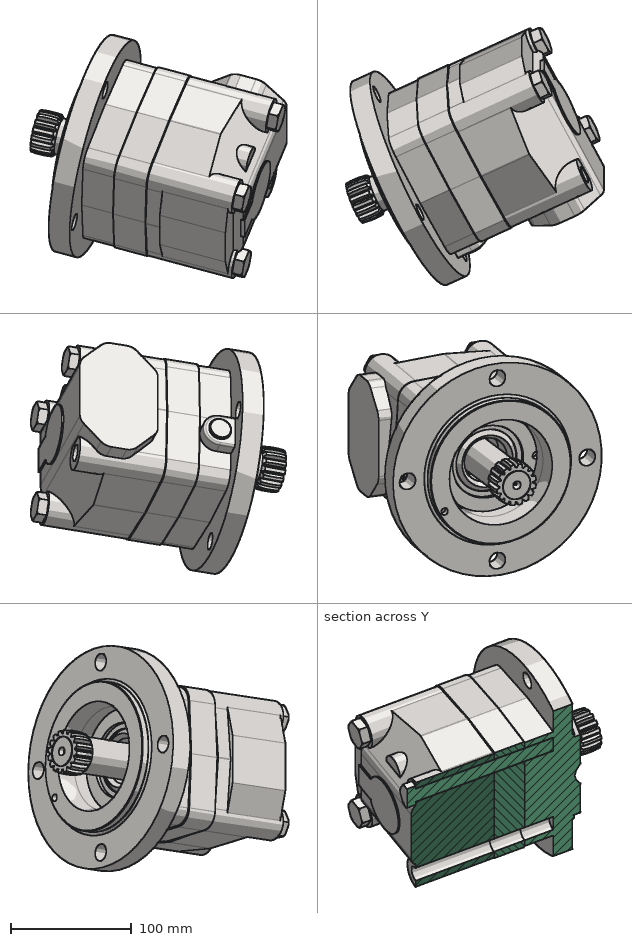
import cadquery as cq
import math

TOTAL_LENGTH = 199.5

PILOT_FRONT = -7.5
SEAL_FRONT = -2.0
FLANGE_BACK = 18.4
HOUSING_BACK = 45.5
RING_BACK = 74.5
BOLT_SEAT = 148.3
BOLT_HEAD_LENGTH = 8.4
BOLT_END = BOLT_SEAT + BOLT_HEAD_LENGTH

FLANGE_DIAMETER = 186.0
PILOT_DIAMETER = 125.1
PILOT_CHAMFER = 0.5
SEAL_DIAMETER = 130.7
SEAL_ROUNDING = 1.4
MOUNT_CIRCLE_DIAMETER = 160.0
MOUNT_HOLE_DIAMETER = 14.2
MOUNT_HOLES = 4

MOUTH_DIAMETER = 91.5
BORE_DIAMETER = 86.8
MOUTH_BACK = 7.8
BORE_FLOOR = 21.0
STEP_DIAMETER = 63.0
STEP_FLOOR = 24.3
LIP_OUTER_DIAMETER = 53.9
LIP_CREST_DIAMETER = 45.0
LIP_CREST = 22.1
LIP_FOOT = 26.1
LIP_THROAT = 26.1
PASSAGE_DIAMETER = 38.1
DRILLING_DIAMETER = 6.0
DRILLING_DEPTH = 6.0
PILOT_DRILLING_Y = 50.0
PILOT_DRILLING_Z = -28.0
FLOOR_DRILLING_Y = -42.7

DRAIN_X = 31.3
DRAIN_Z = -16.0
DRAIN_RADIUS = 14.2
DRAIN_TOP = 71.0
DRAIN_FILLET = 1.8
PLUG_DIAMETER = 19.0
PLUG_HEIGHT = 2.2
PLUG_CHAMFER = 0.8

BOLT_OFFSET = 44.3
HOUSING_CORNER_RADIUS = 14.0
HOUSING_PEAK = 61.3
RING_CORNER_RADIUS = 15.0
RING_PEAK = 61.9
RING_EDGE_CHAMFER = 0.5
RING_BORE_DIAMETER = 42.0

COVER_CORNER_RADIUS = 14.4
COVER_PEAK = 62.7
COVER_RIDGE_HALF_WIDTH = 0.3
COVER_FACE_HALF_WIDTH = 42.5
COVER_FACE_EDGE = BOLT_OFFSET + math.sqrt(COVER_CORNER_RADIUS**2 - (BOLT_OFFSET - COVER_FACE_HALF_WIDTH) ** 2)
COVER_CORE_BACK = 145.0

BOSS_X = 119.0
BOSS_HALF_LENGTH = 33.7
BOSS_BACK = BOSS_X + BOSS_HALF_LENGTH
BOSS_HALF_HEIGHT = 50.9
BOSS_SLOPE_REACH = 62.9
BOSS_TOP_FILLET = 12.8
BOSS_END_FILLET = 11.0
BOSS_TOP = 71.8
BOSS_BOTTOM = -44.9
BOSS_BACK_EDGE = -41.3

PAD_FRONT = 87.8
PAD_TOP = 65.2
PAD_TOP_HALF_HEIGHT = 20.0
PAD_EDGE = 58.7
PAD_HALF_HEIGHT = 44.3

DOME_DIAMETER = 24.1
DOME_Z = 36.1

PLATE_THICKNESS = 1.4
PLATE_DIAMETER = 50.3
TAB_DEPTH = 2.0
TAB_HALF_WIDTH = 11.4
TAB_END = -42.3

HEX_FLATS = 21.7
HEX_CHAMFER = 1.0
SHANK_DIAMETER = 14.0

SHAFT_TILT = 2.0
SHAFT_DIAMETER = 30.5
SHAFT_PIVOT = -33.0
SHAFT_LENGTH_BEHIND_PIVOT = 101.8
SPLINE_HALF_LENGTH = 8.8
SPLINE_DIAMETER = 37.0
SPLINE_END_DIAMETER = 35.7
SPLINE_TAPER_LENGTH = 2.4
SPLINE_TEETH = 16
GAP_ROOT_RADIUS = 15.2
GAP_ROOT_WIDTH = 0.8
GAP_MOUTH_WIDTH = 4.4
NOSE_DIAMETER = 24.7
CENTRE_DIAMETER = 7.0
CENTRE_DRILL_DIAMETER = 2.4
CENTRE_CONE_DEPTH = 3.2
CENTRE_DRILL_DEPTH = 6.0

BOLT_CORNERS = [(sy * BOLT_OFFSET, sz * BOLT_OFFSET) for sy in (-1, 1) for sz in (-1, 1)]
FITTED_CORNERS = [(y, z) for y, z in BOLT_CORNERS if not (y > 0 > z)]


def plane_at(x):
    """Sketch plane at a station along X, with local axes along Y and Z."""
    return cq.Workplane("YZ", origin=(x, 0, 0))


def cylinder_x(diameter, start, end, y=0.0, z=0.0):
    return plane_at(start).center(y, z).circle(diameter / 2).extrude(end - start)


def revolve_x(profile):
    """Revolve a closed (x, radius) outline about the X axis."""
    return cq.Workplane("XY").polyline(profile).close().revolve(360, (0, 0, 0), (1, 0, 0))


def corner_cylinders(diameter, start, end):
    return plane_at(start).pushPoints(BOLT_CORNERS).circle(diameter / 2).extrude(end - start)


def peaked_section(start, end, peak, corner_radius):
    """Square prism whose faces run from a central peak down to a tangent on each round corner."""
    to_corner = math.hypot(BOLT_OFFSET, peak - BOLT_OFFSET)
    slope = math.atan2(peak - BOLT_OFFSET, BOLT_OFFSET) - math.asin(corner_radius / to_corner)
    across = BOLT_OFFSET + corner_radius * math.sin(slope)
    out = BOLT_OFFSET + corner_radius * math.cos(slope)
    middle = BOLT_OFFSET + corner_radius * math.sqrt(0.5)
    sketch = plane_at(start).moveTo(0, peak)
    for quarter in range(4):
        cosine = (1, 0, -1, 0)[quarter]
        sine = (0, -1, 0, 1)[quarter]

        def turned(y, z):
            return (y * cosine - z * sine, y * sine + z * cosine)

        sketch = sketch.lineTo(*turned(across, out))
        sketch = sketch.threePointArc(turned(middle, middle), turned(out, across))
        sketch = sketch.lineTo(*turned(peak, 0))
    return sketch.close().extrude(end - start)


def seal_bead():
    """Bead around the root of the pilot, with a half-round front."""
    outer = SEAL_DIAMETER / 2
    inner = outer - 2 * SEAL_ROUNDING
    round_start = SEAL_FRONT + SEAL_ROUNDING
    return (
        cq.Workplane("XY")
        .moveTo(0, inner)
        .lineTo(0, outer)
        .lineTo(round_start, outer)
        .threePointArc((SEAL_FRONT, outer - SEAL_ROUNDING), (round_start, inner))
        .close()
        .revolve(360, (0, 0, 0), (1, 0, 0))
    )


def front_flange():
    flange = cylinder_x(FLANGE_DIAMETER, 0, FLANGE_BACK)
    pilot = cylinder_x(PILOT_DIAMETER, PILOT_FRONT, 0).faces("<X").chamfer(PILOT_CHAMFER)
    holes = (
        plane_at(0)
        .polarArray(MOUNT_CIRCLE_DIAMETER / 2, 0, 360, MOUNT_HOLES)
        .circle(MOUNT_HOLE_DIAMETER / 2)
        .extrude(FLANGE_BACK)
    )
    return flange.union(pilot).union(seal_bead()).cut(holes)


def housing_bore():
    """Bore stepping inward, whose flared mouth is an arc tangent to the bore wall."""
    mouth_length = MOUTH_BACK - PILOT_FRONT
    flare = (MOUTH_DIAMETER - BORE_DIAMETER) / 2
    flare_radius = (mouth_length**2 + flare**2) / (2 * flare)
    half_angle = math.asin(mouth_length / flare_radius) / 2
    arc_middle = (
        MOUTH_BACK - flare_radius * math.sin(half_angle),
        BORE_DIAMETER / 2 + flare_radius * (1 - math.cos(half_angle)),
    )
    mouth_end = (MOUTH_BACK, BORE_DIAMETER / 2)
    return (
        cq.Workplane("XY")
        .moveTo(PILOT_FRONT, 0)
        .lineTo(PILOT_FRONT, MOUTH_DIAMETER / 2)
        .threePointArc(arc_middle, mouth_end)
        .lineTo(BORE_FLOOR, BORE_DIAMETER / 2)
        .lineTo(BORE_FLOOR, STEP_DIAMETER / 2)
        .lineTo(STEP_FLOOR, STEP_DIAMETER / 2)
        .lineTo(STEP_FLOOR, LIP_OUTER_DIAMETER / 2)
        .lineTo(LIP_FOOT, LIP_OUTER_DIAMETER / 2)
        .lineTo(LIP_CREST, LIP_CREST_DIAMETER / 2)
        .lineTo(LIP_THROAT, PASSAGE_DIAMETER / 2)
        .lineTo(HOUSING_BACK, PASSAGE_DIAMETER / 2)
        .lineTo(HOUSING_BACK, 0)
        .close()
        .revolve(360, (0, 0, 0), (1, 0, 0))
    )


def drain_boss():
    """Half-round boss that runs into the back of the flange, with a low round plug on top."""
    round_end = cq.Workplane("XZ").center(DRAIN_X, 0).circle(DRAIN_RADIUS).extrude(-DRAIN_TOP)
    straight = cq.Workplane("XY").box(
        DRAIN_X - FLANGE_BACK, DRAIN_TOP, 2 * DRAIN_RADIUS, centered=(False, False, True)
    ).translate((FLANGE_BACK, 0, 0))
    outside = cq.Workplane("XY").box(
        HOUSING_BACK - FLANGE_BACK, DRAIN_TOP, FLANGE_DIAMETER, centered=(False, False, True)
    ).translate((FLANGE_BACK, 0, 0))
    boss = round_end.intersect(outside).union(straight)
    boss = boss.faces(">Y").edges("not <X").fillet(DRAIN_FILLET)
    plug = (
        cq.Workplane("XZ", origin=(0, DRAIN_TOP, 0))
        .center(DRAIN_X, 0)
        .circle(PLUG_DIAMETER / 2)
        .extrude(-PLUG_HEIGHT)
        .faces(">Y")
        .chamfer(PLUG_CHAMFER)
    )
    return boss.union(plug).translate((0, 0, DRAIN_Z))


def make_housing():
    rear = peaked_section(FLANGE_BACK, HOUSING_BACK, HOUSING_PEAK, HOUSING_CORNER_RADIUS)
    housing = front_flange().union(rear).union(drain_boss()).cut(housing_bore())
    pilot_drilling = cylinder_x(
        DRILLING_DIAMETER, PILOT_FRONT, PILOT_FRONT + DRILLING_DEPTH, PILOT_DRILLING_Y, PILOT_DRILLING_Z
    )
    floor_drilling = cylinder_x(
        DRILLING_DIAMETER, BORE_FLOOR, BORE_FLOOR + DRILLING_DEPTH, FLOOR_DRILLING_Y
    )
    bolt_holes = corner_cylinders(SHANK_DIAMETER, FLANGE_BACK, HOUSING_BACK)
    return housing.cut(pilot_drilling).cut(floor_drilling).cut(bolt_holes)


def make_gear_ring():
    ring = peaked_section(HOUSING_BACK, RING_BACK, RING_PEAK, RING_CORNER_RADIUS)
    ring = ring.faces("<X or >X").chamfer(RING_EDGE_CHAMFER)
    bore = cylinder_x(RING_BORE_DIAMETER, HOUSING_BACK, RING_BACK)
    return ring.cut(bore).cut(corner_cylinders(SHANK_DIAMETER, HOUSING_BACK, RING_BACK))


def port_boss():
    """Eight-sided prism along Y with rounded corners and a slanted -Y end at the back."""
    slope_z = BOSS_SLOPE_REACH - BOSS_HALF_LENGTH
    slope_x = BOSS_SLOPE_REACH - BOSS_HALF_HEIGHT
    quarter = [(BOSS_HALF_LENGTH, slope_z), (slope_x, BOSS_HALF_HEIGHT)]
    upper = quarter + [(-x, z) for x, z in reversed(quarter)]
    outline = upper + [(x, -z) for x, z in reversed(upper)]
    prism = (
        cq.Workplane("XZ", origin=(BOSS_X, BOSS_BOTTOM, 0))
        .polyline(outline)
        .close()
        .extrude(BOSS_BOTTOM - BOSS_TOP)
        .edges("|Y and (<X or >X)")
        .fillet(BOSS_END_FILLET)
        .edges("|Y and (<Z or >Z)")
        .fillet(BOSS_TOP_FILLET)
    )
    slanted_waste = (
        cq.Workplane("XY")
        .polyline([(COVER_CORE_BACK, BOSS_BOTTOM), (BOSS_BACK, BOSS_BOTTOM), (BOSS_BACK, BOSS_BACK_EDGE)])
        .close()
        .extrude(BOSS_HALF_HEIGHT, both=True)
    )
    return prism.cut(slanted_waste)


def cover_core():
    """Peaked body of the cover, sloped at 45 degrees on its +Z and -Z sides."""
    half_face = [(COVER_RIDGE_HALF_WIDTH, COVER_PEAK), (COVER_FACE_HALF_WIDTH, COVER_FACE_EDGE)]
    side = half_face + [(z, y) for y, z in reversed(half_face)]
    right = side + [(y, -z) for y, z in reversed(side)]
    outline = right + [(-y, z) for y, z in reversed(right)]
    core = plane_at(RING_BACK).polyline(outline).close().extrude(COVER_CORE_BACK - RING_BACK)
    slope_foot = BOSS_X + BOSS_SLOPE_REACH
    for side in (1, -1):
        waste = (
            cq.Workplane("XZ", origin=(0, FLANGE_DIAMETER, 0))
            .polyline([
                (slope_foot, 0),
                (slope_foot, side * FLANGE_DIAMETER),
                (slope_foot - FLANGE_DIAMETER, side * FLANGE_DIAMETER),
            ])
            .close()
            .extrude(2 * FLANGE_DIAMETER)
        )
        core = core.cut(waste)
    return core


def cover_pad():
    outline = [
        (-BOLT_OFFSET, -PAD_HALF_HEIGHT),
        (-PAD_EDGE, -PAD_HALF_HEIGHT),
        (-PAD_TOP, -PAD_TOP_HALF_HEIGHT),
        (-PAD_TOP, PAD_TOP_HALF_HEIGHT),
        (-PAD_EDGE, PAD_HALF_HEIGHT),
        (-BOLT_OFFSET, PAD_HALF_HEIGHT),
    ]
    return plane_at(PAD_FRONT).polyline(outline).close().extrude(COVER_CORE_BACK - PAD_FRONT)


def back_plate():
    disc = cylinder_x(PLATE_DIAMETER, BOSS_BACK, BOSS_BACK + PLATE_THICKNESS)
    tab = cq.Workplane("XY").box(
        TAB_DEPTH + PLATE_THICKNESS, -TAB_END, 2 * TAB_HALF_WIDTH, centered=(False, False, True)
    ).translate((BOSS_BACK - TAB_DEPTH, TAB_END, 0))
    return disc.union(tab)


def make_end_cover():
    dome = cylinder_x(DOME_DIAMETER, BOSS_X, COVER_CORE_BACK, 0, DOME_Z)
    cover = cover_core().union(corner_cylinders(2 * COVER_CORNER_RADIUS, RING_BACK, BOLT_SEAT))
    cover = cover.union(port_boss())
    cover = cover.union(cover_pad()).union(dome).union(back_plate())
    return cover.cut(corner_cylinders(SHANK_DIAMETER, RING_BACK, BOLT_END))


def make_bolt(y, z):
    hex_corners = HEX_FLATS / math.cos(math.pi / 6)
    head = plane_at(BOLT_SEAT).polygon(6, hex_corners).extrude(BOLT_HEAD_LENGTH)
    rounding = cylinder_x(hex_corners, BOLT_SEAT, BOLT_END).faces(">X").chamfer(HEX_CHAMFER)
    shank = cylinder_x(SHANK_DIAMETER, FLANGE_BACK, BOLT_SEAT)
    return head.intersect(rounding).union(shank).translate((0, y, z))


def spline_gaps(start, end):
    """V-shaped gaps between the spline teeth, cut along the shaft."""
    gap = (
        plane_at(start)
        .polyline([
            (-GAP_ROOT_WIDTH / 2, GAP_ROOT_RADIUS),
            (GAP_ROOT_WIDTH / 2, GAP_ROOT_RADIUS),
            (GAP_MOUTH_WIDTH / 2, SPLINE_DIAMETER / 2),
            (-GAP_MOUTH_WIDTH / 2, SPLINE_DIAMETER / 2),
        ])
        .close()
        .extrude(end - start)
    )
    gaps = cq.Workplane("XY")
    for tooth in range(SPLINE_TEETH):
        gaps = gaps.add(gap.rotate((0, 0, 0), (1, 0, 0), tooth * 360 / SPLINE_TEETH))
    return gaps.combine()


def make_shaft():
    tilt = math.radians(SHAFT_TILT)
    nose_reach = SHAFT_PIVOT - (BOLT_END - TOTAL_LENGTH) - NOSE_DIAMETER / 2 * math.sin(tilt)
    nose = -nose_reach / math.cos(tilt)
    spline_back = SPLINE_HALF_LENGTH + SPLINE_TAPER_LENGTH
    blank = (
        cq.Workplane("XY")
        .moveTo(nose, 0)
        .lineTo(nose, NOSE_DIAMETER / 2)
        .lineTo(-SPLINE_HALF_LENGTH, NOSE_DIAMETER / 2)
        .lineTo(-SPLINE_HALF_LENGTH, SPLINE_END_DIAMETER / 2)
        .threePointArc((0, SPLINE_DIAMETER / 2), (SPLINE_HALF_LENGTH, SPLINE_END_DIAMETER / 2))
        .lineTo(spline_back, SHAFT_DIAMETER / 2)
        .lineTo(SHAFT_LENGTH_BEHIND_PIVOT, SHAFT_DIAMETER / 2)
        .lineTo(SHAFT_LENGTH_BEHIND_PIVOT, 0)
        .close()
        .revolve(360, (0, 0, 0), (1, 0, 0))
    )
    centre = revolve_x([
        (nose, 0),
        (nose, CENTRE_DIAMETER / 2),
        (nose + CENTRE_CONE_DEPTH, CENTRE_DRILL_DIAMETER / 2),
        (nose + CENTRE_DRILL_DEPTH, CENTRE_DRILL_DIAMETER / 2),
        (nose + CENTRE_DRILL_DEPTH, 0),
    ])
    shaft = blank.cut(spline_gaps(-SPLINE_HALF_LENGTH, spline_back)).cut(centre)
    return shaft.rotate((0, 0, 0), (0, 0, 1), SHAFT_TILT).translate((SHAFT_PIVOT, 0, 0))


housing = make_housing()
gear_ring = make_gear_ring()
end_cover = make_end_cover()
shaft = make_shaft()
bolts = [make_bolt(y, z) for y, z in FITTED_CORNERS]

result = cq.Compound.makeCompound([
    housing.val(),
    gear_ring.val(),
    end_cover.val(),
    shaft.val(),
    *[bolt.val() for bolt in bolts],
])